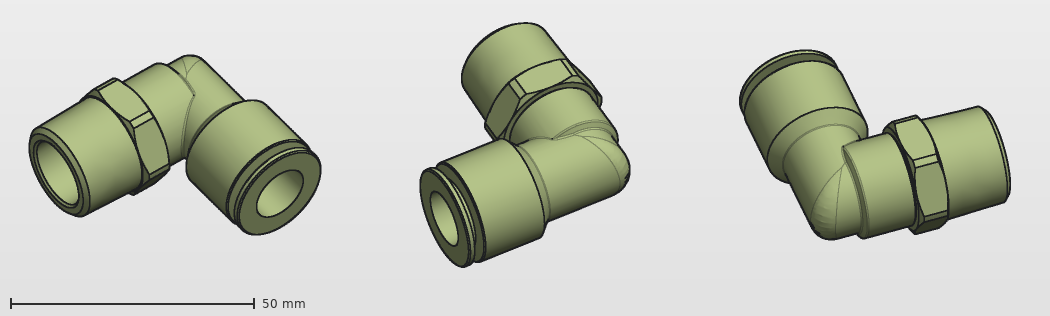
import cadquery as cq
import math


BLOCK_SIZE = 60
PICK_MARGIN = 0.05

ELBOW_RADIUS = 17 / 2
ELBOW_CORNER_FILLET = 4.0
PASSAGE_RADIUS = 11 / 2

COLLAR_RADIUS = 22 / 2
COLLAR_CONE_END = 14.45
COLLAR_CONE_START = COLLAR_CONE_END - (COLLAR_RADIUS - ELBOW_RADIUS)
COLLAR_NECK_FILLET = 0.35
COLLAR_END = 28.45
COLLAR_CHAMFER = 0.27

RING_NECK_RADIUS = 15.8 / 2
RING_NECK_START = 28.85
RING_FLANGE_RADIUS = 21.5 / 2
RING_FLANGE_START = 30.6
RING_FLANGE_CHAMFER = 0.3
RING_END = 31.9
TUBE_RADIUS = 12 / 2
TUBE_STOP = COLLAR_CONE_START

SLEEVE_RADIUS = 19.8 / 2
SLEEVE_START = 1.3
SLEEVE_TOP_ANGLE = math.radians(30)
SLEEVE_SHOULDER = SLEEVE_START + (SLEEVE_RADIUS - ELBOW_RADIUS) * math.tan(SLEEVE_TOP_ANGLE)
SLEEVE_BOTTOM_CHAMFER = 0.35
SLEEVE_FILLET = 0.4

HEX_START = 12.85
HEX_END = 19.45
HEX_FLATS = 22.0
HEX_CORNERS = HEX_FLATS / math.cos(math.pi / 6)
HEX_CORNER_RADIUS = 24.5 / 2
HEX_CHAMFER_ANGLE = math.radians(30)

STUD_END = 33.5
STUD_START_RADIUS = 10.65
STUD_CHAMFER = 1.0
THREAD_TAPER = 1 / 32

STUD_BORE_RADIUS = 14.5 / 2
STUD_BORE_END = HEX_END
BORE_CONE_ANGLE = math.radians(30)
BORE_CONE_END = STUD_BORE_END - (STUD_BORE_RADIUS - PASSAGE_RADIUS) * math.tan(BORE_CONE_ANGLE)
MOUTH_CHAMFER = 0.5


def edges_inside(low_corner, high_corner):
    """Selector for the edges that lie wholly inside a box grown by the picking margin."""
    low = tuple(value - PICK_MARGIN for value in low_corner)
    high = tuple(value + PICK_MARGIN for value in high_corner)
    return cq.selectors.BoxSelector(low, high, boundingbox=True)


def turned_on_tube_axis(outline):
    """Revolve (x, radius) points about the X axis."""
    return cq.Workplane("XY").polyline(outline).close().revolve(360, (0, 0, 0), (1, 0, 0))


def turned_on_stud_axis(outline):
    """Revolve (radius, distance along -Y) points about the Y axis, starting at the -Z side."""
    points = [(-distance, radius) for radius, distance in outline]
    profile_plane = cq.Plane(origin=(0, 0, 0), xDir=(0, 1, 0), normal=(1, 0, 0))
    return cq.Workplane(profile_plane).polyline(points).close().revolve(360, (0, 0, 0), (1, 0, 0))


def block_beside_diagonal(x, y):
    """Large wedge on one side of a diagonal plane through the origin, towards corner (x, y)."""
    corners = [(x, -y), (x, y), (-x, y)]
    return cq.Workplane("XY").polyline(corners).close().extrude(BLOCK_SIZE, both=True)


def round_leg(radius, length):
    """Cylinder on the stud axis that overruns the origin by its radius to reach the mitre."""
    return turned_on_stud_axis([(0, -radius), (radius, -radius), (radius, length), (0, length)])


def mitred_elbow(radius, tube_length, stud_length):
    """Two equal round legs joined on the diagonal plane through the origin."""
    tube_leg = round_leg(radius, tube_length).rotate((0, 0, 0), (0, 0, 1), 90)
    stud_leg = round_leg(radius, stud_length)
    tube_side = block_beside_diagonal(BLOCK_SIZE, BLOCK_SIZE)
    return tube_leg.intersect(tube_side).union(stud_leg.cut(tube_side))


def elbow_body():
    """Elbow with its outer mitre edge rounded; the rounding fades out at the top and bottom."""
    elbow = mitred_elbow(ELBOW_RADIUS, COLLAR_CONE_START, HEX_END)
    outer_side = block_beside_diagonal(-BLOCK_SIZE, BLOCK_SIZE)
    r = ELBOW_RADIUS
    mitre_edge = edges_inside((-r, 0, -r), (0, r, r))
    outer_half = elbow.intersect(outer_side).edges(mitre_edge).fillet(ELBOW_CORNER_FILLET)
    return outer_half.union(elbow.cut(outer_side))


def sleeve():
    """Round sleeve with a sloped, rounded shoulder and a small chamfer next to the hexagon."""
    body = turned_on_stud_axis([
        (0, SLEEVE_START),
        (ELBOW_RADIUS, SLEEVE_START),
        (SLEEVE_RADIUS, SLEEVE_SHOULDER),
        (SLEEVE_RADIUS, HEX_START - SLEEVE_BOTTOM_CHAMFER),
        (SLEEVE_RADIUS - SLEEVE_BOTTOM_CHAMFER, HEX_START),
        (0, HEX_START),
    ])
    r = SLEEVE_RADIUS
    shoulder_edge = edges_inside((-r, -SLEEVE_SHOULDER, -r), (r, -SLEEVE_SHOULDER, r))
    return body.edges(shoulder_edge).fillet(SLEEVE_FILLET)


def elbow_with_sleeve():
    """Sleeve blended into both legs along the whole line where it emerges from the elbow."""
    r = ELBOW_RADIUS
    junction = edges_inside((-r, -r, -r), (SLEEVE_RADIUS, -SLEEVE_START, r))
    return elbow_body().union(sleeve()).edges(junction).fillet(SLEEVE_FILLET)


def collar_and_release_ring():
    """Solid collar with the grooved release ring at its +X end."""
    return turned_on_tube_axis([
        (COLLAR_CONE_START, 0),
        (COLLAR_CONE_START, ELBOW_RADIUS),
        (COLLAR_CONE_END, COLLAR_RADIUS),
        (COLLAR_END - COLLAR_CHAMFER, COLLAR_RADIUS),
        (COLLAR_END, COLLAR_RADIUS - COLLAR_CHAMFER),
        (RING_NECK_START, RING_NECK_RADIUS),
        (RING_FLANGE_START, RING_NECK_RADIUS),
        (RING_FLANGE_START, RING_FLANGE_RADIUS),
        (RING_END - RING_FLANGE_CHAMFER, RING_FLANGE_RADIUS),
        (RING_END, RING_FLANGE_RADIUS - RING_FLANGE_CHAMFER),
        (RING_END, 0),
    ])


def elbow_with_collar():
    """Collar and release ring joined to the tube leg with a small fillet at the neck."""
    r = ELBOW_RADIUS
    neck_edge = edges_inside((COLLAR_CONE_START, -r, -r), (COLLAR_CONE_START, r, r))
    body = elbow_with_sleeve().union(collar_and_release_ring())
    return body.edges(neck_edge).fillet(COLLAR_NECK_FILLET)


def hexagon():
    """Hexagon with flats at +Z and -Z, its corners turned down and coned at both ends."""
    face_radius = HEX_FLATS / 2
    cone_length = (HEX_CORNER_RADIUS - face_radius) * math.tan(HEX_CHAMFER_ANGLE)
    prism = (
        cq.Workplane("XZ").workplane(offset=HEX_START)
        .polygon(6, HEX_CORNERS).extrude(HEX_END - HEX_START)
    )
    envelope = turned_on_stud_axis([
        (0, HEX_START),
        (face_radius, HEX_START),
        (HEX_CORNER_RADIUS, HEX_START + cone_length),
        (HEX_CORNER_RADIUS, HEX_END - cone_length),
        (face_radius, HEX_END),
        (0, HEX_END),
    ])
    return prism.intersect(envelope)


def stud():
    """Tapered stud, modelled without thread grooves, chamfered at its open end."""
    taper_end = STUD_END - STUD_CHAMFER
    taper_end_radius = STUD_START_RADIUS - (taper_end - HEX_END) * THREAD_TAPER
    return turned_on_stud_axis([
        (0, HEX_END),
        (STUD_START_RADIUS, HEX_END),
        (taper_end_radius, taper_end),
        (taper_end_radius - STUD_CHAMFER, STUD_END),
        (0, STUD_END),
    ])


def stud_bore():
    """Wide bore from the stud end, closing down to the passage through a cone."""
    return turned_on_stud_axis([
        (0, STUD_END),
        (STUD_BORE_RADIUS + MOUTH_CHAMFER, STUD_END),
        (STUD_BORE_RADIUS, STUD_END - MOUTH_CHAMFER),
        (STUD_BORE_RADIUS, STUD_BORE_END),
        (PASSAGE_RADIUS, BORE_CONE_END),
        (0, BORE_CONE_END),
    ])


def tube_socket():
    """Plain socket for the tube, from the release ring down to the tube stop."""
    socket_depth = RING_END - TUBE_STOP
    return cq.Workplane("YZ").workplane(offset=TUBE_STOP).circle(TUBE_RADIUS).extrude(socket_depth)


body = elbow_with_collar().union(hexagon()).union(stud())

passage = mitred_elbow(PASSAGE_RADIUS, TUBE_STOP, STUD_BORE_END)
result = body.cut(passage).cut(stud_bore()).cut(tube_socket())